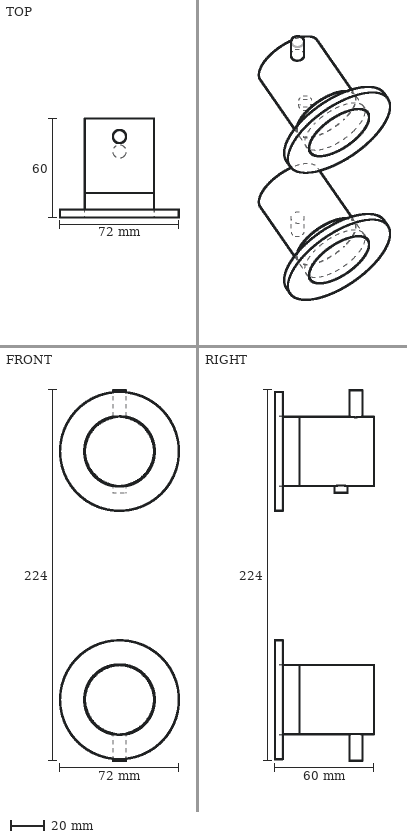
import cadquery as cq
import math

valve_spacing = 150.0
edge_radius = 0.5

flange_diameter = 72.0
flange_thickness = 5.0
bore_clearance = 0.25

knob_diameter = 42.0
knob_length = 60.0
collar_length = 15.0

lever_diameter = 8.0
lever_position = 49.0
lever_reach = 37.0

stop_diameter = 8.0
stop_position = 40.0
stop_protrusion = 4.0
stop_reach = knob_diameter / 2 + stop_protrusion

knob_radius = knob_diameter / 2
flange_radius = flange_diameter / 2
arc_middle = edge_radius * math.sqrt(0.5)


def revolve_about_y(profile):
    """Full turn of a closed XY profile about the Y axis."""
    return profile.close().revolve(360, (0, 0, 0), (0, 1, 0))


def round_outer_corner(profile, radius, end):
    """Continue a profile on the -X side through the rounded corner at the given radius and Y end."""
    centre_x = -(radius - edge_radius)
    centre_y = end - edge_radius
    return profile.lineTo(-radius, centre_y).threePointArc(
        (centre_x - arc_middle, centre_y + arc_middle),
        (centre_x, end),
    )


def make_flange():
    """Round wall plate with a clearance bore and a rounded rear edge."""
    bore_radius = knob_radius + bore_clearance
    profile = cq.Workplane("XY").moveTo(-bore_radius, 0).lineTo(-flange_radius, 0)
    profile = round_outer_corner(profile, flange_radius, flange_thickness)
    profile = profile.lineTo(-bore_radius, flange_thickness)
    return revolve_about_y(profile)


def make_barrel():
    """Collar and barrel of equal diameter, with a rounded collar edge forming the joint line."""
    profile = cq.Workplane("XY").lineTo(-knob_radius, 0)
    profile = round_outer_corner(profile, knob_radius, collar_length)
    profile = profile.lineTo(-knob_radius, collar_length)
    profile = round_outer_corner(profile, knob_radius, knob_length)
    profile = profile.lineTo(0, knob_length)
    return revolve_about_y(profile)


def radial_pin(diameter, position, reach, direction):
    """Pin from the knob axis out to the given reach; direction is +1 for up, -1 for down."""
    return (
        cq.Workplane("XY")
        .center(0, position)
        .circle(diameter / 2)
        .extrude(direction * reach)
    )


def make_knob(lever_direction, has_stop):
    """Barrel with its round-tipped lever pin and, where wanted, the stop pin underneath."""
    lever = radial_pin(lever_diameter, lever_position, lever_reach, lever_direction)
    lever_tip = ">Z" if lever_direction > 0 else "<Z"
    lever = lever.faces(lever_tip).edges().fillet(edge_radius)
    knob = make_barrel().union(lever)
    if has_stop:
        knob = knob.union(radial_pin(stop_diameter, stop_position, stop_reach, -1))
    return knob


bodies = []
for side in (1, -1):
    valve_centre = (0, 0, side * valve_spacing / 2)
    flange = make_flange().translate(valve_centre)
    knob = make_knob(lever_direction=side, has_stop=side > 0).translate(valve_centre)
    bodies += [flange.solids().val(), knob.solids().val()]

result = cq.Compound.makeCompound(bodies)